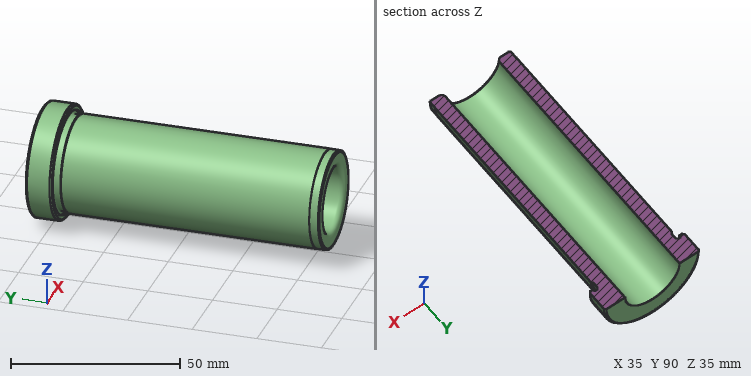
import cadquery as cq

total_length = 90.0
head_diameter = 35.0
head_length = 8.0
head_chamfer = 0.5
body_diameter = 30.0
groove_diameter = 29.0
groove_width = 2.0
groove_edge_chamfer = 0.3
relief_diameter = 31.6
relief_depth = 0.7
neck_fillet_radius = 0.8
lead_diameter = 29.9
lead_length = 3.0
lead_chamfer_length = 0.3
lead_chamfer_depth = 0.5
bore_diameter = 20.0
bore_mouth_radius = 1.5

head_start = total_length - head_length
groove_start = head_start - groove_width


def cylinder(diameter, start, end):
    """Solid cylinder along Y between two stations."""
    return (
        cq.Workplane("XZ", origin=(0, start, 0))
        .circle(diameter / 2)
        .extrude(start - end)
    )


def make_head():
    """Chamfered head with a shallow annular relief in its underside."""
    head = cylinder(head_diameter, head_start, total_length)
    head = head.edges().chamfer(head_chamfer)
    return head.cut(cylinder(relief_diameter, head_start, head_start + relief_depth))


def make_groove_core():
    """Reduced neck reaching up to the bottom of the head relief."""
    return cylinder(groove_diameter, groove_start, head_start + relief_depth)


def make_body():
    body = cylinder(body_diameter, lead_length, groove_start)
    return body.edges(">Y").chamfer(groove_edge_chamfer)


def make_lead():
    """Slightly smaller guide section with a steep chamfer at the end face."""
    lead = cylinder(lead_diameter, 0, lead_length)
    return lead.faces("<Y").chamfer(lead_chamfer_length, lead_chamfer_depth)


def make_neck_and_head():
    """Head and neck joined, with the neck blended into the bottom of the relief."""
    joined = make_groove_core().union(make_head())
    relief_floor = joined.faces("|Y").faces(">Y[-2]")
    neck_corner = relief_floor.edges(cq.selectors.RadiusNthSelector(0))
    return neck_corner.fillet(neck_fillet_radius)


bush = make_lead().union(make_body()).union(make_neck_and_head())
bush = bush.cut(cylinder(bore_diameter, 0, total_length))

bore_mouth = bush.faces("<Y").edges(cq.selectors.RadiusNthSelector(0))
result = bore_mouth.fillet(bore_mouth_radius)